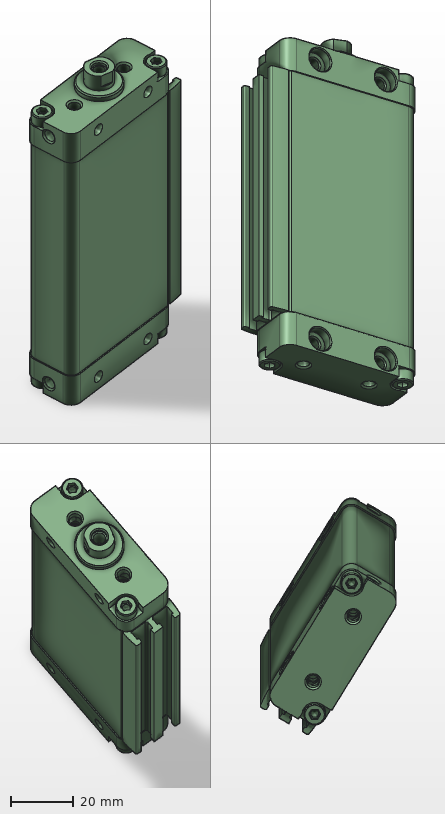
import cadquery as cq
import math


total_height = 120.0
cap_height = 12.0
rod_reach = 8.0
body_top = total_height - rod_reach
barrel_height = body_top - 2 * cap_height

cap_width = 20.0
cap_half = cap_width / 2
cap_depth = 50.9
cap_back = cap_depth / 2
cap_front = -cap_back
corner_radius = 4.0

collar_diameter = 16.0
collar_height = 2.0
collar_chamfer = 0.5

screw_x = 6.0
screw_y = 21.5
screw_head_diameter = 7.0
screw_head_chamfer = 0.4
socket_across = 3.2
socket_drill = 2.5
socket_depth = 1.9
socket_turn = 30.0
notch_depth = 4.0
notch_diameter = 8.0
notch_wall = 3.7

hole_diameter = 4.1
hole_rim = 5.3
mount_spacing = 25.0
mount_edge = 5.0
mount_bore = 4.1
mount_bore_rim = 5.0
mount_seat = 8.0
mount_seat_rim = 8.8
mount_seat_depth = 3.6
pilot_diameter = 3.4
pilot_start = 8.4
port_depth = cap_back - mount_spacing / 2
drill_angle = 118.0

barrel_inset = 0.5
barrel_half = cap_half - barrel_inset
barrel_front = cap_front + barrel_inset
barrel_radius = corner_radius - barrel_inset
slot_floor = 25.7
overall_depth = 56.0
rail_top = cap_front + overall_depth
side_groove_y = 23.6
side_groove_radius = 0.5
body_back = side_groove_y + side_groove_radius

hook_outer_top = 9.0
hook_inner = 7.3
hook_lip = 6.7
lip_height = 1.8
hook_tip_radius = 0.6
tee_head_half = 1.8
tee_stem_half = 1.0
tee_foot = 0.6

rod_diameter = 10.0
rod_relief = 5.0
rod_relief_rim = 6.0
rod_relief_depth = 1.5
rod_thread = 4.0
rod_thread_depth = 9.6
flat_across = 8.9
flat_height = 4.3
flat_turn = -16.0


def revolved(points):
    """Solid of revolution about Z from (radius, height) points."""
    return cq.Workplane("XZ").polyline(points).close().revolve(360, (0, 0), (0, 1))


def blind_hole(diameter, depth):
    """Blind hole going down from Z = 0 to a drill point below its full depth."""
    radius = diameter / 2
    tip = depth + radius / math.tan(math.radians(drill_angle / 2))
    return revolved([(0, 0), (radius, 0), (radius, -depth), (0, -tip)])


def countersunk_hole(diameter, rim, depth):
    """Flat-bottomed hole going down from Z = 0 with a 45 degree countersink."""
    radius = diameter / 2
    rim_radius = rim / 2
    return revolved([
        (0, 0),
        (rim_radius, 0),
        (radius, radius - rim_radius),
        (radius, -depth),
        (0, -depth),
    ])


def corner_notch():
    """Corner recess about a screw axis, down from Z = 0, open towards -X and -Y."""
    reach = 2 * notch_wall
    walls = (
        cq.Workplane("XY")
        .moveTo(notch_wall, -reach)
        .lineTo(notch_wall, 0)
        .lineTo(0, 0)
        .lineTo(0, notch_diameter / 2)
        .lineTo(-reach, notch_diameter / 2)
        .lineTo(-reach, -reach)
        .close()
        .extrude(-notch_depth)
    )
    round_part = cq.Workplane("XY").circle(notch_diameter / 2).extrude(-notch_depth)
    return walls.union(round_part)


def screw_head():
    """Screw head rising from the notch floor to Z = 0, with a drilled hexagon socket."""
    head = (
        cq.Workplane("XY").workplane(offset=-notch_depth)
        .circle(screw_head_diameter / 2).extrude(notch_depth)
        .faces(">Z").edges().chamfer(screw_head_chamfer)
    )
    across_corners = socket_across / math.cos(math.pi / 6)
    hexagon = cq.Workplane("XY").polygon(6, across_corners).extrude(-socket_depth)
    hexagon = hexagon.rotate((0, 0, 0), (0, 0, 1), socket_turn)
    return head.cut(hexagon).cut(blind_hole(socket_drill, socket_depth))


def mounting_hole():
    """Cross hole along X with a chamfered screw seat in the -X side, at Y = Z = 0."""
    seat = countersunk_hole(mount_seat, mount_seat_rim, mount_seat_depth)
    bore = countersunk_hole(mount_bore, mount_bore_rim, cap_width)
    cutter = seat.union(bore.translate((0, 0, -mount_seat_depth)))
    return cutter.rotate((0, 0, 0), (0, 1, 0), -90).translate((-cap_half, 0, 0))


def plain_cap():
    """Cap shared by both ends, with its outer end at Z = 0 and its inner end below."""
    cap = (
        cq.Workplane("XY")
        .rect(cap_width, cap_depth)
        .extrude(-cap_height)
        .edges("|Z").fillet(corner_radius)
    )
    for turn in (0, 180):
        place = (-screw_x, -screw_y, 0)
        notch = corner_notch().translate(place).rotate((0, 0, 0), (0, 0, 1), turn)
        head = screw_head().translate(place).rotate((0, 0, 0), (0, 0, 1), turn)
        cap = cap.cut(notch).union(head)
    pilot = cq.Workplane("XY").circle(pilot_diameter / 2).extrude(-cap_height)
    end_hole = countersunk_hole(hole_diameter, hole_rim, pilot_start).union(pilot)
    for side in (-1, 1):
        y = side * mount_spacing / 2
        cap = cap.cut(mounting_hole().translate((0, y, -mount_edge)))
        cap = cap.cut(end_hole.translate((0, y, 0)))
    port = countersunk_hole(hole_diameter, hole_rim, port_depth).rotate((0, 0, 0), (1, 0, 0), 90)
    return cap.cut(port.translate((0, cap_front, -mount_edge)))


def make_lower_cap():
    return plain_cap().mirror("XY")


def make_upper_cap():
    collar = (
        cq.Workplane("XY").circle(collar_diameter / 2).extrude(collar_height)
        .faces(">Z").edges().chamfer(collar_chamfer)
    )
    cap = plain_cap().union(collar)
    rod_bore = cq.Workplane("XY").workplane(offset=-cap_height).circle(rod_diameter / 2)
    cap = cap.cut(rod_bore.extrude(cap_height + collar_height))
    return cap.translate((0, 0, body_top))


def rail_hook():
    """Hooked rail along the -X side, including its share of the barrel back."""
    mid_lean = (barrel_half - hook_outer_top) / 4
    hook = (
        cq.Workplane("XY")
        .moveTo(-hook_inner, body_back)
        .lineTo(-barrel_half, body_back)
        .threePointArc(
            (-barrel_half + mid_lean, (body_back + rail_top) / 2), (-hook_outer_top, rail_top)
        )
        .lineTo(-hook_lip, rail_top)
        .lineTo(-hook_lip, rail_top - lip_height)
        .lineTo(-hook_inner, rail_top - lip_height)
        .close()
        .extrude(barrel_height)
    )
    return hook.edges("|Z and >Y").fillet(hook_tip_radius)


def centre_tee():
    """T-shaped rail between the two slots, flared at its foot."""
    right_side = [
        (tee_stem_half + tee_foot, slot_floor),
        (tee_stem_half, slot_floor + tee_foot),
        (tee_stem_half, rail_top - lip_height),
        (tee_head_half, rail_top - lip_height),
        (tee_head_half, rail_top),
    ]
    left_side = [(-x, y) for x, y in reversed(right_side)]
    return cq.Workplane("XY").polyline(right_side + left_side).close().extrude(barrel_height)


def make_barrel():
    barrel = (
        cq.Workplane("XY")
        .center(0, (barrel_front + body_back) / 2)
        .rect(2 * barrel_half, body_back - barrel_front)
        .extrude(barrel_height)
        .edges("|Z and <Y").fillet(barrel_radius)
    )
    floor = (
        cq.Workplane("XY")
        .center(0, (body_back + slot_floor) / 2)
        .rect(2 * hook_inner, slot_floor - body_back)
        .extrude(barrel_height)
    )
    barrel = barrel.union(floor)
    hook = rail_hook()
    barrel = barrel.union(hook).union(hook.mirror("YZ")).union(centre_tee())
    side_grooves = (
        cq.Workplane("XY")
        .pushPoints([(-barrel_half, side_groove_y), (barrel_half, side_groove_y)])
        .circle(side_groove_radius).extrude(barrel_height)
    )
    return barrel.cut(side_grooves).translate((0, 0, cap_height))


def make_rod():
    """Rod from the barrel end through the upper cap, with a threaded end and two wrench flats."""
    rod_length = cap_height + rod_reach
    rod = cq.Workplane("XY").circle(rod_diameter / 2).extrude(-rod_length)
    rod = rod.cut(countersunk_hole(rod_relief, rod_relief_rim, rod_relief_depth))
    rod = rod.cut(blind_hole(rod_thread, rod_thread_depth))
    for turn in (flat_turn, flat_turn + 180):
        waste = (
            cq.Workplane("XY").box(rod_diameter, rod_diameter, 2 * flat_height)
            .translate(((flat_across + rod_diameter) / 2, 0, 0))
            .rotate((0, 0, 0), (0, 0, 1), turn)
        )
        rod = rod.cut(waste)
    return rod.translate((0, 0, total_height))


lower_cap = make_lower_cap()
upper_cap = make_upper_cap()
barrel = make_barrel()
rod = make_rod()

result = cq.Compound.makeCompound([lower_cap.val(), upper_cap.val(), barrel.val(), rod.val()])